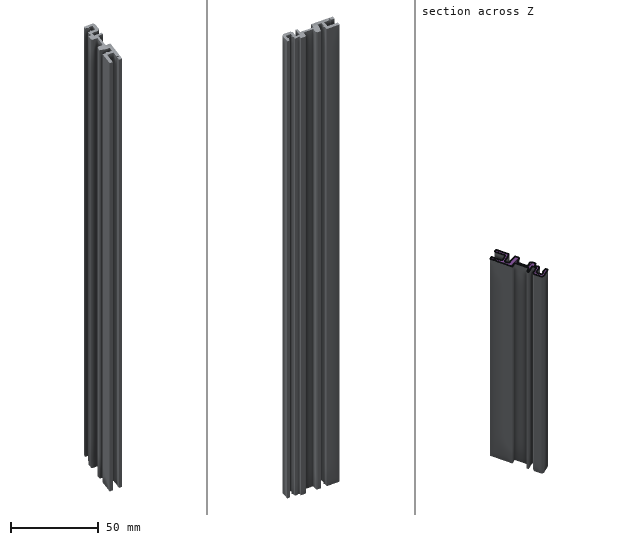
import cadquery as cq

WIDTH = 33.5
DEPTH = 8.0
LENGTH = 337.8

CLIP_WIDTH = 6.8
CLIP_BOTTOM = 1.5
LEG = 1.7
CROWN = 2.0
CROWN_CHAMFER = 1.0
TOOTH_REACH = 1.0
TOOTH_BOTTOM = 2.7
TOOTH_HEIGHT = 1.0

POST_LEFT = 9.0
POST_WIDTH = 1.5
BRIDGE_BOTTOM = 1.7
BRIDGE_TOP = 3.0

WEB_BOTTOM = 3.7
WEB_TOP = 5.0
LEFT_FOOT_START = 8.0
LEFT_FOOT_END = 11.8
RIGHT_FOOT_START = 18.2
RIGHT_FOOT_END = 21.3
FOOT_CHAMFER = 0.7
WALL_LEFT = 19.3
WALL_RIGHT = 22.3
WALL_TAPER_TOP = 4.0

FLANGE = 2.0
CHANNEL_LEFT = 25.0
CHANNEL_WALL = 1.7
BARB_REACH = 0.7
BARB_BOTTOM = 2.5
BARB_TOP = 3.7
GROOVE_LEFT = 30.5
GROOVE_WIDTH = 0.7
GROOVE_DEPTH = 1.5


def bar(left, bottom, right, top):
    """Full-length rectangular bar between two opposite section corners."""
    return cq.Workplane("XY").center((left + right) / 2, (bottom + top) / 2).rect(
        right - left, top - bottom
    ).extrude(LENGTH)


def prism(points):
    """Full-length bar with a polygonal section."""
    return cq.Workplane("XY").polyline(points).close().extrude(LENGTH)


def clip():
    """Inverted U with a chamfered crown and a tooth inside each leg."""
    right_leg = CLIP_WIDTH - LEG
    body = bar(0, CLIP_BOTTOM, CLIP_WIDTH, DEPTH)
    body = body.edges("|Z and >Y").chamfer(CROWN_CHAMFER)
    body = body.cut(bar(LEG, CLIP_BOTTOM, right_leg, DEPTH - CROWN))
    tooth_top = TOOTH_BOTTOM + TOOTH_HEIGHT
    for root, direction in ((LEG, 1), (right_leg, -1)):
        tip = root + direction * TOOTH_REACH
        body = body.union(prism([(root, TOOTH_BOTTOM), (tip, tooth_top), (root, tooth_top)]))
    return body


def left_post():
    """Narrow post standing on a tapered foot, with the bridge to the clip."""
    post = bar(POST_LEFT, BRIDGE_BOTTOM, POST_LEFT + POST_WIDTH, DEPTH)
    bridge = bar(CLIP_WIDTH - LEG, BRIDGE_BOTTOM, LEFT_FOOT_END, BRIDGE_TOP)
    foot = prism([
        (LEFT_FOOT_START, 0),
        (LEFT_FOOT_END - FOOT_CHAMFER, 0),
        (LEFT_FOOT_END, FOOT_CHAMFER),
        (LEFT_FOOT_END, WEB_TOP),
        (POST_LEFT, WEB_TOP),
        (POST_LEFT, BRIDGE_TOP),
        (LEFT_FOOT_START, BRIDGE_TOP),
    ])
    return post.union(bridge).union(foot)


def right_wall():
    """Wall from the top flange that leans towards the web at its foot."""
    return prism([
        (RIGHT_FOOT_START + FOOT_CHAMFER, 0),
        (RIGHT_FOOT_END, 0),
        (WALL_RIGHT, WALL_TAPER_TOP),
        (WALL_RIGHT, DEPTH),
        (WALL_LEFT, DEPTH),
        (WALL_LEFT, WEB_BOTTOM),
        (RIGHT_FOOT_START, WEB_BOTTOM),
        (RIGHT_FOOT_START, FOOT_CHAMFER),
    ])


def channel():
    """Two flanges joined by a barbed wall; the top one is grooved inside."""
    top_flange = bar(WALL_LEFT, DEPTH - FLANGE, WIDTH, DEPTH)
    groove_bottom = DEPTH - FLANGE
    groove = bar(GROOVE_LEFT, groove_bottom, GROOVE_LEFT + GROOVE_WIDTH, groove_bottom + GROOVE_DEPTH)
    bottom_flange = bar(CHANNEL_LEFT, 0, WIDTH, FLANGE)
    wall = bar(CHANNEL_LEFT, 0, CHANNEL_LEFT + CHANNEL_WALL, DEPTH)
    barb = prism([
        (CHANNEL_LEFT, BARB_BOTTOM),
        (CHANNEL_LEFT, BARB_TOP),
        (CHANNEL_LEFT - BARB_REACH, BARB_BOTTOM),
    ])
    return top_flange.cut(groove).union(bottom_flange).union(wall).union(barb)


web = bar(LEFT_FOOT_END, WEB_BOTTOM, WALL_LEFT, WEB_TOP)
profile = clip().union(left_post()).union(web).union(right_wall()).union(channel())

result = profile.translate((-WIDTH / 2, -DEPTH / 2, -LENGTH / 2))